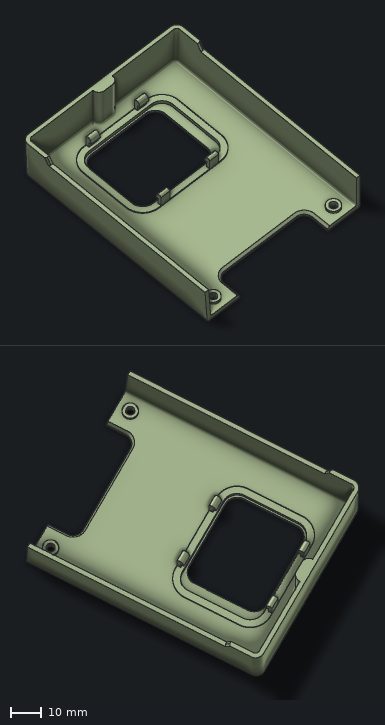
import cadquery as cq
import math

LENGTH = 87.4
WIDTH = 71.1
HEIGHT = 18.3
FLOOR = 1.8
EDGE_RADIUS = 1.0

REAR_WALL = 1.7
SIDE_WALL = 1.7
CORNER_RADIUS = 3.1
OUTER_DRAFT = 2.0
INNER_DRAFT = 2.0
END_TILT = 2.0

LOW_WALL_HEIGHT = 15.6
STEP_TOP_X = 11.45
STEP_FOOT_X = 13.1
STEP_BEVEL_X = 0.5
STEP_BEVEL_Y = 0.8

BUMP_FRONT_X = 4.4
BUMP_WIDTH = 8.9
BUMP_RADIUS = BUMP_FRONT_X - REAR_WALL

RIM_X = (7.3, 42.9)
RIM_WIDTH = 43.7
RIM_RADIUS = 7.6
RIM_STRIP = 2.6
RIM_HEIGHT = 0.4
LEDGE = 0.9
OPENING_MARGIN = 0.7
OPENING_TOP_MARGIN = 3.8
OPENING_RADIUS = 4.55

TAB_WIDTH = 4.1
TAB_Y = 11.1
TAB_STEM = 1.4
TAB_UNDERCUT = 2.1
TAB_NOSE = 2.7
TAB_SHOULDER = 4.2
TAB_CREST = 4.8
TAB_CREST_FROM_BACK = 0.9
TAB_ROOF = 2.0

HOLE_DIAMETER = 3.0
BOSS_DIAMETER = 5.4
BOSS_HEIGHT = 1.0
BOSS_X = 82.4
BOSS_Y = 27.5

NOTCH_X = 76.4
NOTCH_WIDTH = 40.2
NOTCH_RADIUS = 3.7
NOTCH_CHAMFER = 1.0

OVERCUT = 8.7


def slope(degrees):
    return math.tan(math.radians(degrees))


def box(x_start, x_end, y_start, y_end, z_start, z_end):
    return cq.Workplane("XY").box(
        x_end - x_start, y_end - y_start, z_end - z_start, centered=False
    ).translate((x_start, y_start, z_start))


def drafted_prism(x_start, x_end, top_half_width, z_bottom, draft):
    """Bar along X whose sides lean outwards up to the full height."""
    foot_half_width = top_half_width - (HEIGHT - z_bottom) * slope(draft)
    outline = [
        (-foot_half_width, z_bottom),
        (foot_half_width, z_bottom),
        (top_half_width, HEIGHT),
        (-top_half_width, HEIGHT),
    ]
    return (
        cq.Workplane("YZ").workplane(offset=x_start)
        .polyline(outline).close().extrude(x_end - x_start)
    )


def outer_block():
    block = drafted_prism(0, LENGTH + OVERCUT, WIDTH / 2, 0, OUTER_DRAFT)
    block = block.faces("<X").edges("not |Y").fillet(CORNER_RADIUS)
    block = block.faces("<Z").edges("not >X").fillet(EDGE_RADIUS)
    end_profile = [
        (LENGTH, 0),
        (LENGTH + 2 * OVERCUT, 0),
        (LENGTH + 2 * OVERCUT, HEIGHT),
        (LENGTH - HEIGHT * slope(END_TILT), HEIGHT),
    ]
    end_cut = cq.Workplane("XZ").polyline(end_profile).close().extrude(WIDTH, both=True)
    return block.cut(end_cut)


def cavity():
    half_width = WIDTH / 2 - SIDE_WALL
    space = drafted_prism(REAR_WALL, LENGTH + OVERCUT, half_width, FLOOR, INNER_DRAFT)
    space = space.faces("<X").edges("not |Y").fillet(CORNER_RADIUS - REAR_WALL)
    bump = box(0, BUMP_FRONT_X, -BUMP_WIDTH / 2, BUMP_WIDTH / 2, 0, HEIGHT)
    bump = bump.edges("|Z and >X").fillet(BUMP_RADIUS)
    space = space.cut(bump)
    return space.faces("<Z").edges("not >X").fillet(EDGE_RADIUS)


def step_section(workplane, edge_x):
    """Plan outline of the removed wall tops; the outer wall edge is bevelled."""
    outer_y = WIDTH / 2
    inner_y = outer_y - STEP_BEVEL_Y
    end_x = LENGTH + OVERCUT
    return workplane.polyline([
        (edge_x, -inner_y),
        (edge_x - STEP_BEVEL_X, -outer_y),
        (end_x, -outer_y),
        (end_x, outer_y),
        (edge_x - STEP_BEVEL_X, outer_y),
        (edge_x, inner_y),
    ]).close()


def wall_step():
    foot = step_section(cq.Workplane("XY").workplane(offset=LOW_WALL_HEIGHT), STEP_FOOT_X)
    top = step_section(foot.workplane(offset=HEIGHT - LOW_WALL_HEIGHT), STEP_TOP_X)
    return top.loft(ruled=True)


def window_rim():
    rim = box(*RIM_X, -RIM_WIDTH / 2, RIM_WIDTH / 2, 0, FLOOR + RIM_HEIGHT)
    return rim.edges("|Z").fillet(RIM_RADIUS)


def window_cut():
    x_start = RIM_X[0] + RIM_STRIP
    x_end = RIM_X[1] - RIM_STRIP
    half_width = RIM_WIDTH / 2 - RIM_STRIP
    recess = box(x_start, x_end, -half_width, half_width, LEDGE, HEIGHT)
    recess = recess.edges("|Z").fillet(RIM_RADIUS - RIM_STRIP)
    opening = box(
        x_start + OPENING_MARGIN, x_end - OPENING_MARGIN,
        OPENING_MARGIN - half_width, half_width - OPENING_TOP_MARGIN,
        -OVERCUT, HEIGHT,
    )
    opening = opening.edges("|Z").fillet(OPENING_RADIUS)
    return recess.union(opening)


def snap_tab(back_x, inward, y_center):
    """Hooked tab; inward is +1 or -1, the X direction its nose points."""
    base_z = FLOOR + RIM_HEIGHT

    def point(depth, height):
        return back_x + inward * depth, base_z + height

    return (
        cq.Workplane("XZ", origin=(0, y_center, 0))
        .moveTo(*point(0, -RIM_HEIGHT))
        .lineTo(*point(0, TAB_SHOULDER))
        .threePointArc(point(TAB_CREST_FROM_BACK, TAB_CREST), point(TAB_ROOF, TAB_SHOULDER))
        .lineTo(*point(RIM_STRIP, TAB_NOSE))
        .lineTo(*point(TAB_STEM, TAB_UNDERCUT))
        .lineTo(*point(TAB_STEM, -RIM_HEIGHT))
        .close()
        .extrude(TAB_WIDTH / 2, both=True)
    )


def notch_outline(z, growth):
    """Rounded plan outline of the notch at height z, grown outwards by growth."""
    half_width = NOTCH_WIDTH / 2 + growth
    x_start = NOTCH_X - growth
    radius = NOTCH_RADIUS + growth
    diagonal = radius * (1 - math.sqrt(0.5))
    far_x = LENGTH + OVERCUT
    return (
        cq.Workplane("XY").workplane(offset=z)
        .moveTo(far_x, -half_width)
        .lineTo(x_start + radius, -half_width)
        .threePointArc((x_start + diagonal, diagonal - half_width), (x_start, radius - half_width))
        .lineTo(x_start, half_width - radius)
        .threePointArc((x_start + diagonal, half_width - diagonal), (x_start + radius, half_width))
        .lineTo(far_x, half_width)
        .close()
    )


def notch_cutter():
    """Cut through the floor, chamfered along the floor's upper edge."""
    through = notch_outline(0, 0).extrude(FLOOR)
    flare = notch_outline(FLOOR, NOTCH_CHAMFER).extrude(-NOTCH_CHAMFER, taper=45)
    return through.union(flare)


body = outer_block().cut(cavity()).cut(wall_step())
body = body.union(window_rim()).cut(window_cut())

for tab_y in (-TAB_Y, TAB_Y):
    body = body.union(snap_tab(RIM_X[0], 1, tab_y))
    body = body.union(snap_tab(RIM_X[1], -1, tab_y))

hole_centers = [(BOSS_X, -BOSS_Y), (BOSS_X, BOSS_Y)]
bosses = (
    cq.Workplane("XY").pushPoints(hole_centers)
    .circle(BOSS_DIAMETER / 2).extrude(FLOOR + BOSS_HEIGHT)
)
holes = (
    cq.Workplane("XY").pushPoints(hole_centers)
    .circle(HOLE_DIAMETER / 2).extrude(HEIGHT)
)
body = body.union(bosses).cut(holes)
result = body.cut(notch_cutter())